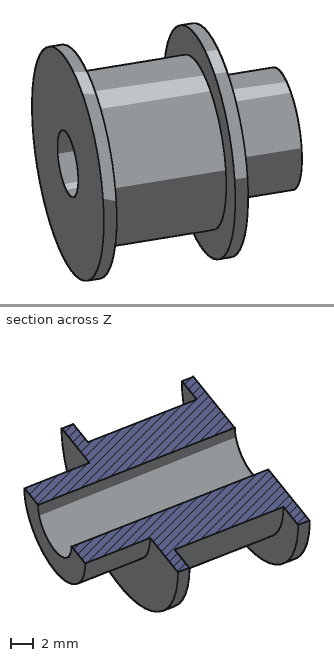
import cadquery as cq

flange_diameter = 21.0
core_diameter = 15.7
hub_diameter = 11.0
bore_diameter = 6.0

total_length = 20.0
flange_thickness = 1.2
core_length = 11.0
hub_length = total_length - 2 * flange_thickness - core_length


def add_section(body, diameter, length):
    """Stack a cylinder on the body's +Y end face."""
    return body.faces(">Y").workplane().circle(diameter / 2).extrude(length)


front_flange = cq.Workplane("XZ").circle(flange_diameter / 2).extrude(-flange_thickness)

pulley = add_section(front_flange, core_diameter, core_length)
pulley = add_section(pulley, flange_diameter, flange_thickness)
pulley = add_section(pulley, hub_diameter, hub_length)

bore = cq.Workplane("XZ").circle(bore_diameter / 2).extrude(-total_length)
result = pulley.cut(bore)